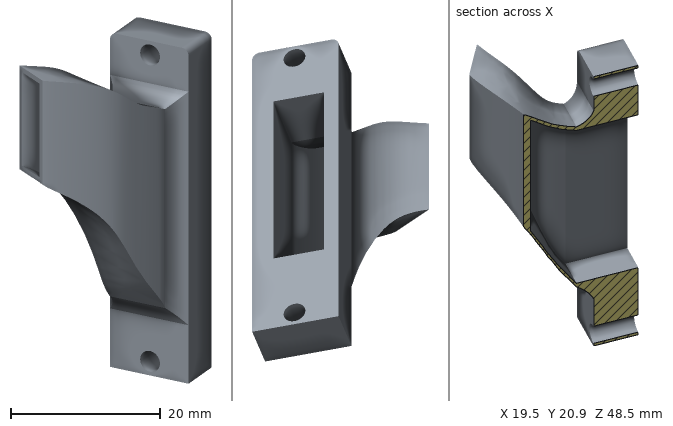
import cadquery as cq
import math

block_width = 12.0
block_depth = 6.4
block_height = 48.5
corner_radius = 1.0
hole_diameter = 3.0
hole_edge_distance = 2.05
hole_x = 6.1

wall = 0.75
neck_y = -8.85
neck_left, neck_right = 1.3, 9.75
neck_bottom, neck_top = 11.4, 40.25
outlet_bottom, outlet_top = 31.4, 46.4

flange = ((0, -block_depth), (block_width, -block_depth), 8.5, 42.35)
flare = ((0.85, -7.28), (10.55, -7.28), 9.95, 41.05)
neck = ((neck_left, neck_y), (neck_right, neck_y), neck_bottom, neck_top)
bend = [
    neck,
    ((1.05, -10.75), (9.15, -11.05), 14.65, 41.15),
    ((0, -13.1), (7.28, -14.85), 21.35, 43.55),
    ((-1.8, -15.0), (4.95, -17.45), 26.6, 45.6),
    ((-3.8, -16.35), (1.35, -19.65), 29.6, 46.35),
    ((-7.5, -17.85), (-2.35, -20.9), outlet_bottom, outlet_top),
]


def section_wire(section, inset):
    """Closed rectangular wire, moved inward from the section outline by the inset."""
    (x0, y0), (x1, y1), bottom, top = section
    width = math.hypot(x1 - x0, y1 - y0)
    shift_x = inset * (x1 - x0) / width
    shift_y = inset * (y1 - y0) / width
    inner = (x0 + shift_x, y0 + shift_y)
    outer = (x1 - shift_x, y1 - shift_y)
    low, high = bottom + inset, top - inset
    corners = [(*inner, low), (*outer, low), (*outer, high), (*inner, high)]
    return cq.Wire.makePolygon([cq.Vector(*corner) for corner in corners], close=True)


def loft(sections, inset=0):
    wires = [section_wire(section, inset) for section in sections]
    return cq.Workplane(obj=cq.Solid.makeLoft(wires))


def mounting_block():
    block = cq.Workplane().box(block_width, block_depth, block_height, centered=False)
    block = block.translate((0, -block_depth, 0))
    block = block.edges("|Y and >Z").fillet(corner_radius)
    hole_places = [
        (hole_x, hole_edge_distance),
        (hole_x, block_height - hole_edge_distance),
    ]
    holes = cq.Workplane("XZ").pushPoints(hole_places).circle(hole_diameter / 2).extrude(block_depth)
    return block.cut(holes)


def air_passage():
    """Straight channel from the back face to the neck, then the bend to the outlet."""
    channel = (
        cq.Workplane()
        .box(
            neck_right - neck_left - 2 * wall,
            -neck_y,
            neck_top - neck_bottom - 2 * wall,
            centered=False,
        )
        .translate((neck_left + wall, neck_y, neck_bottom + wall))
    )
    return channel.union(loft(bend, wall))


duct = loft([flange, flare, neck]).union(loft(bend))
result = mounting_block().union(duct).cut(air_passage())